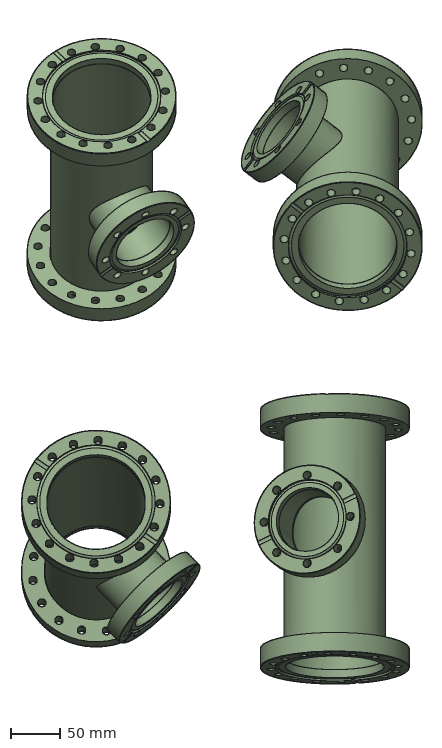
import cadquery as cq

total_height = 270.0
main_tube_od = 104.0
main_tube_id = 100.0

side_tube_od = 70.0
side_tube_id = 66.0
side_face_x = 95.0

knife_depth = 1.0
cone_depth = 2.2
tube_end_depth = 9.5
hub_back_depth = 14.0
bore_clearance = 0.5
bolt_hole_d = 8.5
rim_chamfer = 0.5
groove_width = 4.3
groove_depth = 1.0

large_od = 152.0
large_thickness = 20.0
large_bolt_circle = 130.5
large_bolt_count = 16
large_knife_d = 114.8
large_recess_d = 120.7
large_hub_od = 120.5
large_ring_bore = 121.2
large_ring_opening = 105.5

small_od = 113.5
small_thickness = 17.5
small_bolt_circle = 92.0
small_bolt_count = 8
small_knife_d = 77.2
small_hub_od = 82.4
small_ring_bore = 83.2
small_ring_opening = 76.5

top_face = cq.Plane(origin=(0, 0, total_height / 2), xDir=(1, 0, 0), normal=(0, 0, 1))
bottom_face = cq.Plane(origin=(0, 0, -total_height / 2), xDir=(1, 0, 0), normal=(0, 0, -1))
side_face = cq.Plane(origin=(side_face_x, 0, 0), xDir=(0, 1, 0), normal=(1, 0, 0))


def cylinder(diameter, bottom, top):
    """Cylinder on the local Z axis between two heights."""
    return cq.Workplane("XY").workplane(offset=bottom).circle(diameter / 2).extrude(top - bottom)


def revolve_profile(points):
    """Solid of revolution about the local Z axis from (radius, height) points."""
    return cq.Workplane("XZ").polyline(points).close().revolve(360, (0, 0, 0), (0, 1, 0))


def place(body, face):
    """Move a body from its local frame to a flange face."""
    return body.val().moved(cq.Location(face))


def flange_blank(od, thickness):
    """Plain disc with its face at height 0 and a small chamfer on the face rim."""
    return cylinder(od, -thickness, 0).faces(">Z").edges().chamfer(rim_chamfer)


def cut_bolt_holes(flange, thickness, bolt_circle, count, start_angle):
    holes = (
        cq.Workplane("XY")
        .workplane(offset=-thickness)
        .polarArray(bolt_circle / 2, start_angle, 360, count)
        .circle(bolt_hole_d / 2)
        .extrude(thickness)
    )
    return flange.cut(holes)


def cut_leak_grooves(flange, od, angle):
    """Two opposite round-bottomed radial grooves, cut as one groove across the whole face."""
    radius = (groove_width**2 / 4 + groove_depth**2) / (2 * groove_depth)
    cutter = (
        cq.Workplane("YZ")
        .center(0, radius - groove_depth)
        .circle(radius)
        .extrude(od, both=True)
        .rotate((0, 0, 0), (0, 0, 1), angle)
    )
    return flange.cut(cutter)


def make_fixed_flange(od, thickness, bolt_circle, count, start_angle, knife_d, recess_d, tube_od, tube_id):
    """One-piece knife-edge flange with a socket for the tube in its back."""
    bore_radius = (tube_id + bore_clearance) / 2
    recess = revolve_profile([
        (0, 0),
        (recess_d / 2, 0),
        (recess_d / 2, -cone_depth),
        (knife_d / 2, -knife_depth),
        (bore_radius, -knife_depth),
        (bore_radius, -tube_end_depth),
        (tube_od / 2, -tube_end_depth),
        (tube_od / 2, -thickness),
        (0, -thickness),
    ])
    flange = flange_blank(od, thickness)
    flange = cut_bolt_holes(flange, thickness, bolt_circle, count, start_angle)
    flange = cut_leak_grooves(flange, od, start_angle + 180 / count)
    return flange.cut(recess)


def make_rotatable_ring(od, thickness, bolt_circle, count, start_angle, ring_bore, ring_opening):
    """Bolt ring that turns around a welded hub."""
    ring = flange_blank(od, thickness)
    ring = cut_bolt_holes(ring, thickness, bolt_circle, count, start_angle)
    ring = cut_leak_grooves(ring, od, start_angle + 180 / count)
    ring = ring.cut(cylinder(ring_bore, -hub_back_depth, 0))
    return ring.cut(cylinder(ring_opening, -thickness, 0))


def make_hub(hub_od, knife_d, tube_od, tube_id):
    """Knife-edge hub welded on the tube end, inside a rotatable ring."""
    bore_radius = (tube_id + bore_clearance) / 2
    return revolve_profile([
        (hub_od / 2, -hub_back_depth),
        (hub_od / 2, -cone_depth),
        (knife_d / 2, -knife_depth),
        (bore_radius, -knife_depth),
        (bore_radius, -tube_end_depth),
        (tube_od / 2, -tube_end_depth),
        (tube_od / 2, -hub_back_depth),
    ])


def make_main_tube():
    """Upright tube with the opening of the side branch."""
    end_height = total_height / 2 - tube_end_depth
    tube = cylinder(main_tube_od, -end_height, end_height).cut(cylinder(main_tube_id, -end_height, end_height))
    opening = cq.Workplane("YZ").circle(side_tube_id / 2).extrude(main_tube_od)
    return tube.cut(opening)


def make_side_tube():
    """Branch tube whose inner end is saddled onto the main tube."""
    tube = (
        cq.Workplane("YZ")
        .circle(side_tube_od / 2)
        .circle(side_tube_id / 2)
        .extrude(side_face_x - tube_end_depth)
    )
    return tube.cut(cylinder(main_tube_od, -side_tube_od, side_tube_od))


main_tube = make_main_tube()
side_tube = make_side_tube()

top_flange = make_fixed_flange(
    large_od, large_thickness, large_bolt_circle, large_bolt_count, 0,
    large_knife_d, large_recess_d, main_tube_od, main_tube_id,
)
bottom_ring = make_rotatable_ring(
    large_od, large_thickness, large_bolt_circle, large_bolt_count, -180 / large_bolt_count,
    large_ring_bore, large_ring_opening,
)
bottom_hub = make_hub(large_hub_od, large_knife_d, main_tube_od, main_tube_id)

side_ring = make_rotatable_ring(
    small_od, small_thickness, small_bolt_circle, small_bolt_count, 0,
    small_ring_bore, small_ring_opening,
)
side_hub = make_hub(small_hub_od, small_knife_d, side_tube_od, side_tube_id)

result = cq.Compound.makeCompound([
    main_tube.val(),
    side_tube.val(),
    place(top_flange, top_face),
    place(bottom_ring, bottom_face),
    place(bottom_hub, bottom_face),
    place(side_ring, side_face),
    place(side_hub, side_face),
])